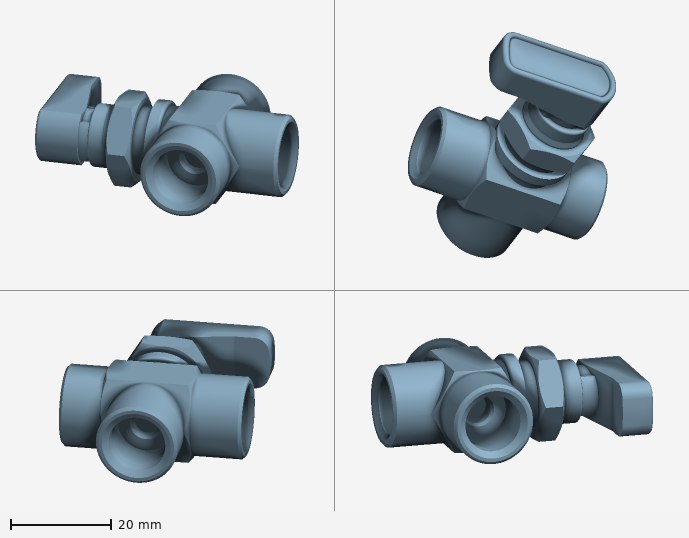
import cadquery as cq
import math


hex_flats = 17.0
hex_corner_radius = hex_flats / math.sqrt(3)
hex_half_length = 9.15
hex_chamfer_angle = 30.0
hex_bonnet_side_x = -9.25
port_radius = 8.3
port_chamfer = 0.6
port_x_end = 17.5
port_y_front_end = 17.5
port_y_back_end = 19.5
countersink_radius = 7.0
countersink_depth = 1.0
bore_radius = 5.75
bore_depth = 11.0
throat_radius = 2.75
throat_chamfer = 0.55
flange_face_x = -10.1
flange_back_x = -7.44
flange_radius = 8.5
flange_fillet = 0.65
neck_radius = 7.55

ball_radius = 5.5
ball_flat_distance = 4.5

thread_radius = 6.9
thread_start_x = -18.3
collar_radius = 6.4
collar_back_x = -19.5
collar_face_x = -22.6
collar_fillet = 0.45

nut_left_x = -18.0
nut_length = 5.0
nut_turn = 1.3

lever_face_x = -33.5
lever_tip_back_x = -27.0
lever_hub_back_x = -24.55
lever_taper_end_y = 11.8
lever_half_width = 5.5
lever_hub_radius = 6.5
lever_tip_radius = 19.05
lever_corner_radius = 3.0
bead_radius = 0.7
bead_width = 1.45
groove_depth = 0.75
panel_edge_fillet = 0.4
panel_depth = 0.3
lever_boss_radius = 5.1
lug_radius = 6.1
lug_half_width = 4.05

badge_left_y = 10.9
badge_half_width = 3.05
badge_end_radius = 4.2
badge_thickness = 0.5


def x_cylinder(radius, x_start, x_end):
    return cq.Workplane("YZ", origin=(x_start, 0, 0)).circle(radius).extrude(x_end - x_start)


def chamfered_hexagon(corner_radius, half_length, chamfer_start_radius):
    """Hexagonal bar along Z, centred, with turned chamfers on both ends."""
    bar = cq.Workplane("XY").polygon(6, 2 * corner_radius).extrude(half_length, both=True)
    edge_drop = (corner_radius - chamfer_start_radius) * math.tan(math.radians(hex_chamfer_angle))
    blank = (
        cq.Workplane("XZ")
        .moveTo(0, -half_length)
        .lineTo(chamfer_start_radius, -half_length)
        .lineTo(corner_radius, edge_drop - half_length)
        .lineTo(corner_radius, half_length - edge_drop)
        .lineTo(chamfer_start_radius, half_length)
        .lineTo(0, half_length)
        .close()
        .revolve(360, (0, 0, 0), (0, 1, 0))
    )
    return bar.intersect(blank)


def port_arm(direction, end):
    plane = cq.Plane(origin=(0, 0, 0), xDir=(0, 0, 1), normal=direction)
    arm = cq.Workplane(plane).circle(port_radius).extrude(end)
    end_face = cq.DirectionMinMaxSelector(cq.Vector(*direction))
    return arm.faces(end_face).chamfer(port_chamfer)


def port_bore(direction, end):
    """Countersunk bore with a chamfered throat that runs in to the origin."""
    floor = end - bore_depth
    profile = [
        (0, 0),
        (throat_radius, 0),
        (throat_radius, floor - throat_chamfer),
        (throat_radius + throat_chamfer, floor),
        (bore_radius, floor),
        (bore_radius, end - countersink_depth),
        (countersink_radius, end),
        (0, end),
    ]
    sideways = cq.Vector(0, 0, 1)
    normal = sideways.cross(cq.Vector(*direction))
    plane = cq.Plane(origin=(0, 0, 0), xDir=sideways, normal=normal)
    return cq.Workplane(plane).polyline(profile).close().revolve(360, (0, 0, 0), (0, 1, 0))


ports = [
    ((1, 0, 0), port_x_end),
    ((0, -1, 0), port_y_front_end),
    ((0, 1, 0), port_y_back_end),
]


def make_ball():
    """Closed ball with a flat facing each of the three ports."""
    ball = cq.Workplane("XY").sphere(ball_radius)
    length = ball_radius + ball_flat_distance
    block = cq.Workplane("XY").box(length, 2 * ball_flat_distance, 2 * ball_radius)
    block = block.translate((ball_flat_distance - length / 2, 0, 0))
    return ball.intersect(block)


def make_housing():
    housing = chamfered_hexagon(hex_corner_radius, hex_half_length, port_radius)
    housing = housing.rotate((0, 0, 0), (1, 0, 0), 90)
    housing = housing.intersect(x_cylinder(2 * hex_half_length, hex_bonnet_side_x, hex_corner_radius))
    for direction, end in ports:
        housing = housing.union(port_arm(direction, end))
    flange = x_cylinder(flange_radius, flange_face_x, flange_back_x)
    flange = flange.faces(">X").edges().fillet(flange_fillet)
    housing = housing.union(x_cylinder(neck_radius, flange_back_x, 0)).union(flange)
    for direction, end in ports:
        housing = housing.cut(port_bore(direction, end))
    return housing.cut(make_ball())


def make_bonnet():
    profile = [
        (flange_face_x, 0),
        (flange_face_x, thread_radius),
        (thread_start_x, thread_radius),
        (collar_back_x, collar_radius),
        (collar_face_x, collar_radius),
        (collar_face_x, 0),
    ]
    bonnet = cq.Workplane("XY").polyline(profile).close().revolve(360, (0, 0, 0), (1, 0, 0))
    return bonnet.faces("<X").edges().fillet(collar_fillet)


def make_nut():
    """Hexagon nut on the thread, turned slightly about X from having corners on Y."""
    nut = chamfered_hexagon(hex_corner_radius, nut_length / 2, hex_flats / 2)
    nut = nut.rotate((0, 0, 0), (0, 0, 1), 90)
    nut = nut.rotate((0, 0, 0), (0, 1, 0), 90)
    nut = nut.rotate((0, 0, 0), (1, 0, 0), -nut_turn)
    nut = nut.translate((nut_left_x + nut_length / 2, 0, 0))
    return nut.cut(x_cylinder(thread_radius, nut_left_x, nut_left_x + nut_length))


def lever_outline(inset, x_start, x_end):
    """Lever plan shape, moved inward by `inset`: flat sides, both ends round about the X axis."""
    half_width = lever_half_width - inset
    hub = lever_hub_radius - inset
    tip = lever_tip_radius - inset
    hub_y = -math.sqrt(hub**2 - half_width**2)
    corner = lever_corner_radius - inset
    centre_z = half_width - corner
    centre_y = math.sqrt((tip - corner) ** 2 - centre_z**2)
    end_angle = math.atan2(centre_z, centre_y)
    end_y = tip * math.cos(end_angle)
    end_z = tip * math.sin(end_angle)
    mid_angle = (end_angle + math.pi / 2) / 2
    mid_y = centre_y + corner * math.cos(mid_angle)
    mid_z = centre_z + corner * math.sin(mid_angle)
    return (
        cq.Workplane("YZ", origin=(x_start, 0, 0))
        .moveTo(hub_y, half_width)
        .lineTo(centre_y, half_width)
        .threePointArc((mid_y, mid_z), (end_y, end_z))
        .threePointArc((tip, 0), (end_y, -end_z))
        .threePointArc((mid_y, -mid_z), (centre_y, -half_width))
        .lineTo(hub_y, -half_width)
        .threePointArc((-hub, 0), (hub_y, half_width))
        .close()
        .extrude(x_end - x_start)
    )


def make_badge():
    panel_x = lever_face_x + panel_depth
    end_y = -math.sqrt(badge_end_radius**2 - badge_half_width**2)
    return (
        cq.Workplane("YZ", origin=(panel_x, 0, 0))
        .moveTo(badge_left_y, badge_half_width)
        .lineTo(badge_left_y, -badge_half_width)
        .lineTo(end_y, -badge_half_width)
        .threePointArc((-badge_end_radius, 0), (end_y, badge_half_width))
        .close()
        .extrude(badge_thickness)
    )


def make_lever():
    side = [
        (lever_face_x, -lever_hub_radius),
        (lever_hub_back_x, -lever_hub_radius),
        (lever_hub_back_x, 0),
        (lever_tip_back_x, lever_taper_end_y),
        (lever_tip_back_x, lever_tip_radius),
        (lever_face_x, lever_tip_radius),
    ]
    side_slab = cq.Workplane("XY").polyline(side).close().extrude(lever_half_width, both=True)
    lever = lever_outline(0, lever_face_x, lever_hub_back_x)

    groove_floor_x = lever_face_x + groove_depth
    lever = lever.cut(lever_outline(bead_width, lever_face_x, groove_floor_x))
    lever = lever.faces("<X").edges().fillet(bead_radius)
    lever = lever.intersect(side_slab)
    panel = lever_outline(bead_width, lever_face_x + panel_depth, groove_floor_x)
    panel = panel.faces("<X").edges().fillet(panel_edge_fillet)
    lever = lever.union(panel)

    boss = x_cylinder(lever_boss_radius, lever_tip_back_x, collar_face_x)
    lug_length = collar_face_x - lever_tip_back_x
    lug_band = cq.Workplane("YZ", origin=(lever_tip_back_x, 0, 0))
    lug_band = lug_band.rect(2 * lug_radius, 2 * lug_half_width).extrude(lug_length)
    lugs = x_cylinder(lug_radius, lever_tip_back_x, collar_face_x).intersect(lug_band)
    return lever.union(boss).union(lugs).cut(make_badge())


housing = make_housing()
ball = make_ball()
bonnet = make_bonnet()
nut = make_nut()
lever = make_lever()
badge = make_badge()

bodies = [housing, ball, bonnet, nut, lever, badge]
result = cq.Compound.makeCompound([body.solids().val() for body in bodies])